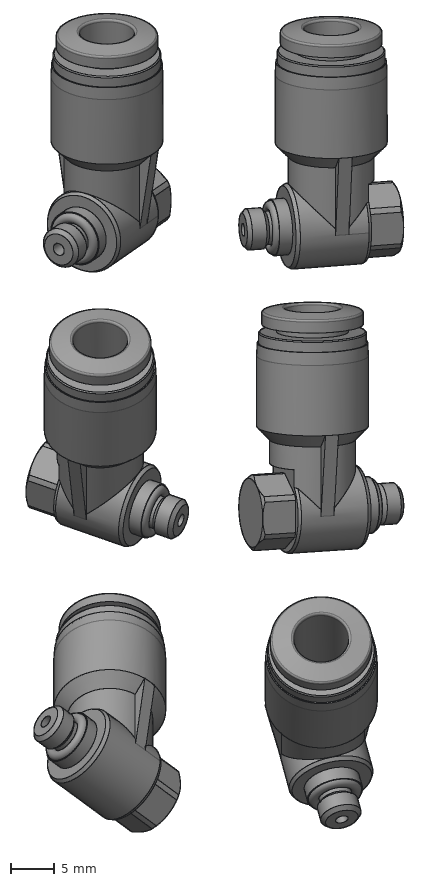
import cadquery as cq
import math

body_dia = 13.0
collar_dia = 12.5
release_ring_dia = 11.8
release_neck_dia = 8.35
bore_dia = 6.35
barrel_dia = 10.0
passage_dia = 1.5

total_height = 28.7
ring_bottom_z = 26.75
collar_top_z = 25.85
collar_bottom_z = 24.55
body_taper_z = 23.05
body_bottom_z = 14.75
neck_top_z = 13.17
relief_top_z = 10.4
bore_floor_z = body_bottom_z

ring_edge_round = 0.25
dome_drop = 0.45
bore_mouth_round = 0.3
ring_neck_fillet = 0.35
collar_chamfer = 0.15
body_taper = 0.1

axis_z = barrel_dia / 2
barrel_back_y = 3.55
barrel_front_y = -5.48
front_chamfer_length = 0.45
front_chamfer_depth = 0.25
back_chamfer_length = 0.35
back_chamfer_depth = 0.17
rib_width = 1.6

hex_back_y = 7.63
hex_flats = 8.0
hex_corner_dia = 8.87
hex_chamfer_length = 0.3

shoulder_dia = 6.6
seal_dia = 6.35
seal_front_y = -7.65
thread_dia = 4.82
thread_root_dia = 3.87
thread_neck_y = -7.9
thread_start_y = -8.35
thread_chamfer_y = -10.07
thread_end_y = -10.55


def make_socket():
    """Revolve the stepped vertical socket, from the barrel axis up to the domed release ring."""
    ring_r = release_ring_dia / 2
    release_neck_r = release_neck_dia / 2
    collar_r = collar_dia / 2
    body_r = body_dia / 2
    dome_edge_z = total_height - dome_drop
    lower_profile = [
        (0, axis_z),
        (barrel_dia / 2, axis_z),
        (barrel_dia / 2, neck_top_z),
        (body_r, body_bottom_z),
        (body_r, body_taper_z),
        (body_r - body_taper, collar_bottom_z),
        (collar_r, collar_bottom_z),
        (collar_r, collar_top_z - collar_chamfer),
        (collar_r - collar_chamfer, collar_top_z),
        (release_neck_r, collar_top_z),
        (release_neck_r, ring_bottom_z - ring_neck_fillet),
    ]
    socket = (
        cq.Workplane("XZ")
        .polyline(lower_profile)
        .radiusArc((release_neck_r + ring_neck_fillet, ring_bottom_z), ring_neck_fillet)
        .lineTo(ring_r, ring_bottom_z)
        .lineTo(ring_r, dome_edge_z)
        .lineTo(bore_dia / 2 + bore_mouth_round, total_height)
        .radiusArc((bore_dia / 2, total_height - bore_mouth_round), -bore_mouth_round)
        .lineTo(bore_dia / 2, bore_floor_z)
        .lineTo(0, bore_floor_z)
        .close()
        .revolve(360, (0, 0), (0, 1))
    )
    rim = socket.edges("%CIRCLE").edges(
        cq.selectors.BoxSelector(
            (-ring_r, -ring_r, dome_edge_z - dome_drop / 2),
            (ring_r, ring_r, dome_edge_z + dome_drop / 2),
        )
    )
    return rim.fillet(ring_edge_round)


def cut_head_relief(socket):
    """Flatten the back of the lower neck so that it clears the hexagon head."""
    relief = cq.Workplane("XY").box(
        barrel_dia, barrel_dia, relief_top_z, centered=(True, False, False)
    )
    return socket.cut(relief.translate((0, barrel_back_y, 0)))


def revolve_about_barrel(sketch):
    """Close a (radius, y) half profile and revolve it about the barrel axis."""
    return sketch.close().revolve(360, (0, 0), (0, 1)).translate((0, 0, axis_z))


def make_barrel():
    """Horizontal barrel, chamfered at both ends."""
    barrel_r = barrel_dia / 2
    profile = [
        (0, barrel_back_y),
        (barrel_r - back_chamfer_depth, barrel_back_y),
        (barrel_r, barrel_back_y - back_chamfer_length),
        (barrel_r, barrel_front_y + front_chamfer_length),
        (barrel_r - front_chamfer_depth, barrel_front_y),
        (0, barrel_front_y),
    ]
    return revolve_about_barrel(cq.Workplane("XY").polyline(profile))


def make_threaded_end():
    """Shoulder, rounded sealing ring, undercut neck and chamfered plain thread."""
    shoulder_r = shoulder_dia / 2
    seal_r = seal_dia / 2
    root_r = thread_root_dia / 2
    seal_round_r = (seal_r - root_r) / 2
    seal_round_y = seal_front_y + seal_round_r
    sketch = (
        cq.Workplane("XY")
        .moveTo(0, barrel_front_y)
        .lineTo(shoulder_r, barrel_front_y)
        .lineTo(shoulder_r, seal_round_y)
        .lineTo(seal_r, seal_round_y)
        .threePointArc((seal_r - seal_round_r, seal_front_y), (root_r, seal_round_y))
        .lineTo(root_r, thread_neck_y)
        .lineTo(thread_dia / 2, thread_start_y)
        .lineTo(thread_dia / 2, thread_chamfer_y)
        .lineTo(root_r, thread_end_y)
        .lineTo(0, thread_end_y)
    )
    return revolve_about_barrel(sketch)


def make_hex_head():
    """Hexagon with corners up and down, turned down at the corners and chamfered at the back."""
    corner_r = hex_corner_dia / 2
    hex_circumdiameter = hex_flats / math.cos(math.pi / 6)
    prism = (
        cq.Workplane("XZ", origin=(0, hex_back_y, axis_z))
        .transformed(rotate=(0, 0, 90))
        .polygon(6, hex_circumdiameter)
        .extrude(hex_back_y - barrel_back_y)
    )
    turned_profile = [
        (0, barrel_back_y),
        (corner_r, barrel_back_y),
        (corner_r, hex_back_y - hex_chamfer_length),
        (hex_flats / 2, hex_back_y),
        (0, hex_back_y),
    ]
    return prism.intersect(revolve_about_barrel(cq.Workplane("XY").polyline(turned_profile)))


def make_ribs():
    """Pair of tapered side ribs, from the lower rim of the body down to the barrel axis."""
    outline = [
        (-barrel_dia / 2, axis_z),
        (barrel_dia / 2, axis_z),
        (body_dia / 2, body_bottom_z),
        (-body_dia / 2, body_bottom_z),
    ]
    return cq.Workplane("XZ").polyline(outline).close().extrude(rib_width / 2, both=True)


def make_passage():
    """Elbow passage from the bore floor to the thread end, with a spherical corner."""
    passage_r = passage_dia / 2
    corner = cq.Workplane("XY", origin=(0, 0, axis_z))
    down = corner.circle(passage_r).extrude(bore_floor_z - axis_z)
    forward = cq.Workplane("XZ", origin=(0, 0, axis_z)).circle(passage_r).extrude(-thread_end_y)
    return down.union(forward).union(corner.sphere(passage_r))


result = (
    cut_head_relief(make_socket())
    .union(make_ribs())
    .union(make_barrel())
    .union(make_threaded_end())
    .union(make_hex_head())
    .cut(make_passage())
)